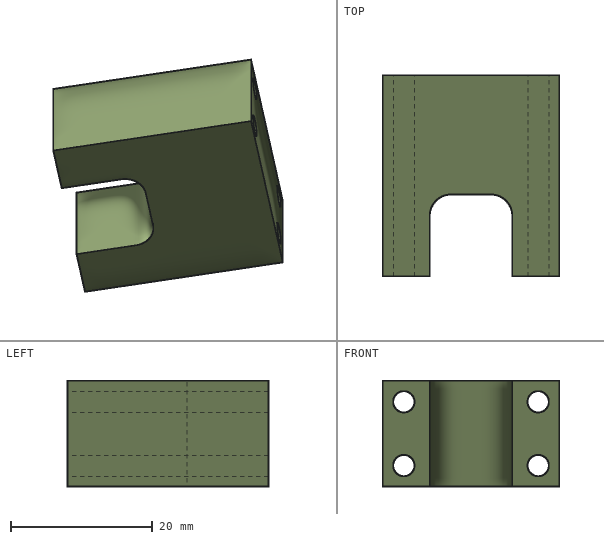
import cadquery as cq

width = 25.0
length = 28.47
height = 15.0

slot_width = 11.65
slot_depth = 11.55
slot_corner_radius = 3.0

hole_diameter = 3.0
hole_inset = 3.0
hole_spacing_x = width - 2 * hole_inset
hole_spacing_z = height - 2 * hole_inset


def make_block():
    return cq.Workplane("XY").box(width, length, height)


def make_slot():
    slot_center_y = (slot_depth - length) / 2
    return (
        cq.Workplane("XY")
        .box(slot_width, slot_depth, height)
        .edges("|Z and >Y")
        .fillet(slot_corner_radius)
        .translate((0, slot_center_y, 0))
    )


def make_holes():
    return (
        cq.Workplane("XZ")
        .rarray(hole_spacing_x, hole_spacing_z, 2, 2)
        .circle(hole_diameter / 2)
        .extrude(length / 2, both=True)
    )


result = make_block().cut(make_slot()).cut(make_holes())